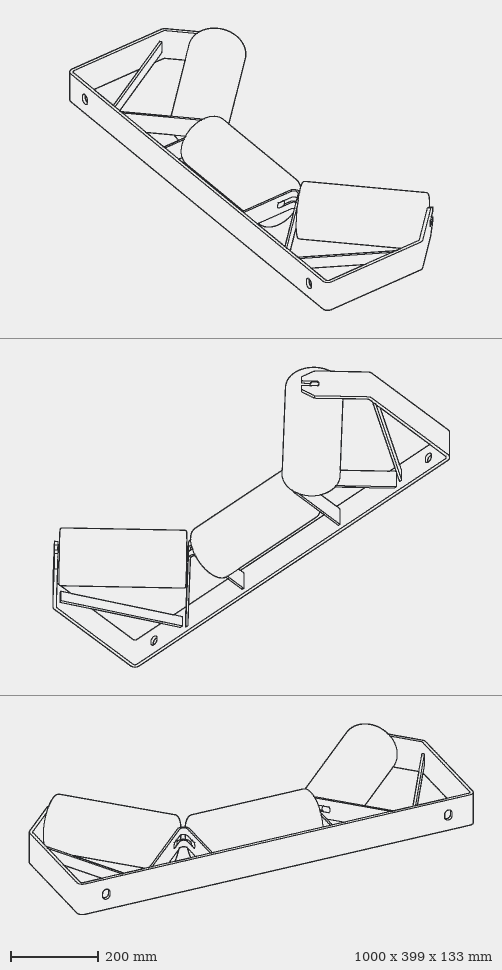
import cadquery as cq
import math


frame_length = 1000.0
set_depth = 399.0
frame_height = 80.0
frame_thickness = 8.0
frame_bend_radius = 14.0

roller_diameter = 133.0
roller_length = 290.0
roller_edge_radius = 5.0
roller_end_gap = 4.0
shaft_diameter = 20.0
shaft_flat_width = 15.0
wing_angle = 45.0
wing_x = 299.0
middle_y = 126.0

arm_past_axis = 30.0
arm_chamfer_along = 30.0
arm_chamfer_across = 20.0

mount_hole_x = 432.0
mount_hole_width = 18.0
mount_hole_height = 26.0

bracket_height = 50.0
strut_height = 30.0
bracket_thickness = 5.0
bracket_fold_radius = 15.0
strut_thickness = 6.0
strut_foot_x = 345.0
strut_angle = 60.0

half_length = frame_length / 2
tilt = math.radians(wing_angle)
edge_centre_along = roller_length / 2 - roller_edge_radius
edge_centre_across = roller_diameter / 2 - roller_edge_radius
edge_rise = edge_centre_along * math.sin(tilt) + edge_centre_across * math.cos(tilt) + roller_edge_radius
wing_y = set_depth - edge_rise
support_offset = roller_length / 2 + roller_end_gap
shaft_tip_length = bracket_thickness


def from_left_roller(along, across):
    """Point at a distance along and across the axis of the left wing roller."""
    x = -wing_x + along * math.cos(tilt) + across * math.sin(tilt)
    y = wing_y - along * math.sin(tilt) + across * math.cos(tilt)
    return (x, y)


def meet_tilted_face(x, along):
    """Point at x on the plane square to the left wing axis at the given distance along it."""
    start_x, start_y = from_left_roller(along, 0)
    return (x, start_y + (x - start_x) / math.tan(tilt))


def mirrored(points):
    return [(-x, y) for x, y in reversed(points)]


def bent_plate(outer, inner, height, bend_radius):
    """Extrude a strip between two matching face lines and round its bends."""
    thickness = math.dist(outer[0], inner[0])
    plate = cq.Workplane("XY").polyline(outer + inner[::-1]).close().extrude(height / 2, both=True)
    for points, radius in ((outer, bend_radius), (inner, bend_radius - thickness)):
        for x, y in points[1:-1]:
            corner = cq.selectors.NearestToPointSelector((x, y, 0))
            plate = plate.edges(corner).fillet(radius)
    return plate


def shaft_tip(length):
    """Shaft end along +X from the origin, with flats facing up and down."""
    rod = cq.Workplane("YZ").circle(shaft_diameter / 2).extrude(length)
    flats = cq.Workplane("YZ").rect(shaft_diameter, shaft_flat_width).extrude(length)
    return rod.intersect(flats)


def shaft_slot(depth, reach):
    """Cutter for a slot seating a shaft tip and open towards +Y."""
    opening = cq.Workplane("YZ").center(reach / 2, 0).rect(reach, shaft_flat_width).extrude(depth)
    return shaft_tip(depth).union(opening)


def place(body, centre, angle):
    return body.rotate((0, 0, 0), (0, 0, 1), angle).translate((centre[0], centre[1], 0))


def make_roller():
    """Roller with its shaft along X, centred on the origin."""
    shell = cq.Workplane("YZ").circle(roller_diameter / 2).extrude(roller_length)
    shell = shell.translate((-roller_length / 2, 0, 0))
    shell = shell.faces("<X or >X").edges().fillet(roller_edge_radius)
    shaft = cq.Workplane("YZ").circle(shaft_diameter / 2).extrude(2 * support_offset)
    shaft = shaft.translate((-support_offset, 0, 0))
    roller = shell.union(shaft)
    for turn in (0, 180):
        tip = shaft_tip(shaft_tip_length).translate((support_offset, 0, 0))
        roller = roller.union(tip.rotate((0, 0, 0), (0, 0, 1), turn))
    return roller


def make_arm_end_cutters():
    """Corner chamfers and shaft slot at the tip of the left frame arm."""
    outer_face = -support_offset - frame_thickness
    half_height = frame_height / 2
    cutters = shaft_slot(frame_thickness, arm_past_axis).translate((outer_face, 0, 0))
    for side in (1, -1):
        corner = (
            cq.Workplane("YZ", origin=(outer_face, 0, 0))
            .moveTo(arm_past_axis, side * half_height)
            .lineTo(arm_past_axis - arm_chamfer_along, side * half_height)
            .lineTo(arm_past_axis, side * (half_height - arm_chamfer_across))
            .close()
            .extrude(frame_thickness)
        )
        cutters = cutters.union(corner)
    return place(cutters, (-wing_x, wing_y), -wing_angle)


def make_frame():
    arm_outer = -support_offset - frame_thickness
    left_outer = [
        from_left_roller(arm_outer, arm_past_axis),
        meet_tilted_face(-half_length, arm_outer),
        (-half_length, 0),
    ]
    wall_inner_x = -half_length + frame_thickness
    left_inner = [
        from_left_roller(-support_offset, arm_past_axis),
        meet_tilted_face(wall_inner_x, -support_offset),
        (wall_inner_x, frame_thickness),
    ]
    outer = left_outer + mirrored(left_outer)
    inner = left_inner + mirrored(left_inner)
    frame = bent_plate(outer, inner, frame_height, frame_bend_radius)

    cutters = make_arm_end_cutters()
    frame = frame.cut(cutters).cut(cutters.mirror("YZ"))

    mount_holes = (
        cq.Workplane("XZ")
        .pushPoints([(-mount_hole_x, 0), (mount_hole_x, 0)])
        .slot2D(mount_hole_height, mount_hole_width, 90)
        .extrude(-frame_thickness)
    )
    return frame.cut(mount_holes)


def make_left_bracket():
    """Folded plate with one leg at the middle roller and one at the wing roller."""
    leg_x = -support_offset
    leg_back_x = leg_x - bracket_thickness
    wing_back = support_offset + bracket_thickness
    foot_y = frame_thickness

    def wing_foot(along):
        start_x, start_y = from_left_roller(along, 0)
        return (start_x + (foot_y - start_y) * math.tan(tilt), foot_y)

    outer = [(leg_x, foot_y), meet_tilted_face(leg_x, support_offset), wing_foot(support_offset)]
    inner = [(leg_back_x, foot_y), meet_tilted_face(leg_back_x, wing_back), wing_foot(wing_back)]
    bracket = bent_plate(outer, inner, bracket_height, bracket_fold_radius)

    slot_reach = outer[1][1] - middle_y
    fold_width = bracket_fold_radius * (1 + math.sin(tilt))
    leg_slot = shaft_slot(fold_width, slot_reach).translate((leg_x - fold_width, middle_y, 0))
    wing_slot = shaft_slot(bracket_thickness, slot_reach).translate((support_offset, 0, 0))
    wing_slot = place(wing_slot, (-wing_x, wing_y), -wing_angle)
    return bracket.cut(leg_slot).cut(wing_slot)


def make_left_strut():
    """Flat bar lying on the bottom bar, its square upper end touching the side wall."""
    lean = math.radians(strut_angle)
    slope = math.tan(lean)
    half_foot = strut_thickness / math.sin(lean) / 2
    wall_x = -half_length + frame_thickness
    foot_y = frame_thickness
    foot_left = -strut_foot_x - half_foot
    foot_right = -strut_foot_x + half_foot
    wall_y = foot_y + (foot_left - wall_x) * slope
    end_x = wall_x + strut_thickness * math.sin(lean)
    end_y = wall_y + strut_thickness * math.cos(lean)
    outline = [
        (foot_left, foot_y),
        (foot_right, foot_y),
        (end_x, end_y),
        (wall_x, wall_y),
    ]
    return cq.Workplane("XY").polyline(outline).close().extrude(strut_height / 2, both=True)


frame = make_frame()

roller_places = [
    ((-wing_x, wing_y), -wing_angle),
    ((0, middle_y), 0),
    ((wing_x, wing_y), wing_angle),
]
rollers = [place(make_roller(), centre, angle) for centre, angle in roller_places]

left_bracket = make_left_bracket()
brackets = [left_bracket, left_bracket.mirror("YZ")]

left_strut = make_left_strut()
struts = [left_strut, left_strut.mirror("YZ")]

bodies = [frame, *rollers, *brackets, *struts]
result = cq.Compound.makeCompound([body.val() for body in bodies])